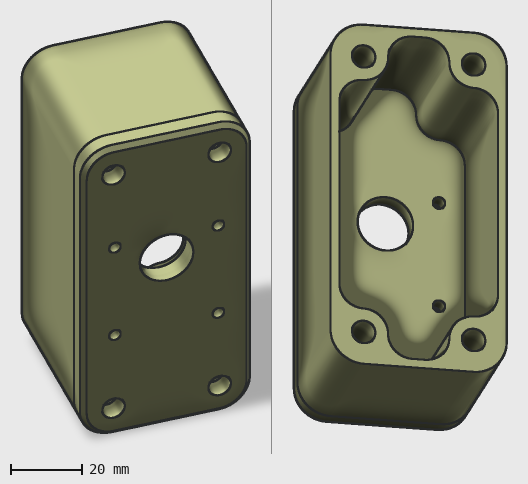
import cadquery as cq
import math

DEPTH = 50.8
WIDTH = 50.8
HEIGHT = 101.6
CORNER_RADIUS = 9.5

PLATE_THICKNESS = 6.4
PLATE_CHAMFER = 1.5

WALL = 2.5
CAVITY_RADIUS = CORNER_RADIUS - WALL

SCREW_HOLE_DIAMETER = 6.7
CENTER_HOLE_DIAMETER = 16.0
CENTER_HOLE_Z = 8.0
SMALL_HOLE_DIAMETER = 3.5
SMALL_HOLE_SPACING = 30.9

OPEN_FACE_X = -DEPTH / 2
PLATE_INNER_X = DEPTH / 2 - PLATE_THICKNESS
HOUSING_LENGTH = DEPTH - PLATE_THICKNESS
SCREW_Y = WIDTH / 2 - CORNER_RADIUS
SCREW_Z = HEIGHT / 2 - CORNER_RADIUS


def section_plane(x):
    """YZ workplane at the given X, extruding toward +X."""
    return cq.Workplane("YZ", origin=(x, 0, 0))


def rounded_block(x, length):
    """Block with the outer outline, starting at x."""
    return section_plane(x).rect(WIDTH, HEIGHT).extrude(length).edges("|X").fillet(CORNER_RADIUS)


def drill(body, x, length, points, diameter):
    """Cut round holes along X at the given (y, z) points."""
    return body.cut(section_plane(x).pushPoints(points).circle(diameter / 2).extrude(length))


def rectangle_corners(half_y, half_z):
    return [(y, z) for y in (-half_y, half_y) for z in (-half_z, half_z)]


SCREW_POINTS = rectangle_corners(SCREW_Y, SCREW_Z)


def add_corner(outline, side_y, side_z):
    """Run the outline round one screw boss, from the end wall to the side wall of that corner.

    Three quarter arcs: outward corner, inward arc concentric with the screw hole, outward corner.
    Corners with side_y * side_z > 0 are walked the other way, from side wall to end wall.
    """
    stops = [
        (SCREW_Y - 2 * CAVITY_RADIUS, SCREW_Z + CAVITY_RADIUS),
        (SCREW_Y - CAVITY_RADIUS, SCREW_Z),
        (SCREW_Y, SCREW_Z - CAVITY_RADIUS),
        (SCREW_Y + CAVITY_RADIUS, SCREW_Z - 2 * CAVITY_RADIUS),
    ]
    diagonal = CAVITY_RADIUS * math.sqrt(0.5)
    middles = [
        (stops[0][0] + diagonal, stops[1][1] + diagonal),
        (SCREW_Y - diagonal, SCREW_Z - diagonal),
        (stops[2][0] + diagonal, stops[3][1] + diagonal),
    ]
    if side_y * side_z > 0:
        stops.reverse()
        middles.reverse()

    def mirrored(point):
        return (side_y * point[0], side_z * point[1])

    outline = outline.lineTo(*mirrored(stops[0]))
    for middle, stop in zip(middles, stops[1:]):
        outline = outline.threePointArc(mirrored(middle), mirrored(stop))
    return outline


def make_cavity():
    """Cross-shaped cavity whose inward corners wrap round the screw bosses."""
    outline = section_plane(OPEN_FACE_X).moveTo(WIDTH / 2 - WALL, 0)
    for side_y, side_z in [(1, 1), (-1, 1), (-1, -1), (1, -1)]:
        outline = add_corner(outline, side_y, side_z)
    return outline.close().extrude(HOUSING_LENGTH)


def make_housing():
    body = rounded_block(OPEN_FACE_X, HOUSING_LENGTH).cut(make_cavity())
    return drill(body, OPEN_FACE_X, HOUSING_LENGTH, SCREW_POINTS, SCREW_HOLE_DIAMETER)


def make_end_plate():
    plate = rounded_block(PLATE_INNER_X, PLATE_THICKNESS).faces(">X").chamfer(PLATE_CHAMFER)
    plate = drill(plate, PLATE_INNER_X, PLATE_THICKNESS, SCREW_POINTS, SCREW_HOLE_DIAMETER)
    plate = drill(plate, PLATE_INNER_X, PLATE_THICKNESS, [(0, CENTER_HOLE_Z)], CENTER_HOLE_DIAMETER)
    small_points = rectangle_corners(SMALL_HOLE_SPACING / 2, SMALL_HOLE_SPACING / 2)
    return drill(plate, PLATE_INNER_X, PLATE_THICKNESS, small_points, SMALL_HOLE_DIAMETER)


housing = make_housing()
end_plate = make_end_plate()
result = cq.Compound.makeCompound([housing.val(), end_plate.val()])